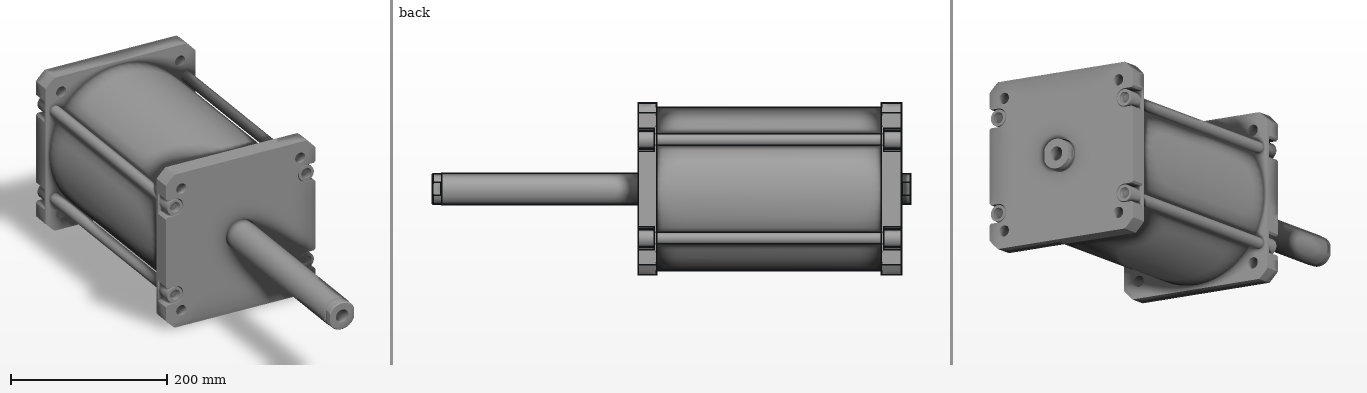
import cadquery as cq
import math

total_length = 611.5
stub_length = 11.5
rear_plate_thickness = 25.5
barrel_length = 287.5
front_plate_thickness = 24.0
rear_face_x = -total_length / 2 + stub_length
barrel_start_x = rear_face_x + rear_plate_thickness
barrel_end_x = barrel_start_x + barrel_length
front_face_x = barrel_end_x + front_plate_thickness

plate_width = 220.0
plate_corner_radius = 147.0
mount_hole_offset = 87.5
mount_hole_radius = 7.5

barrel_radius = 104.5
rod_radius = 20.0
plate_bore_radius = 21.5
neck_radius = 19.5
neck_length = 12.0
front_end_chamfer = 1.0
flat_half_width = 18.0
flat_length = 10.5
end_hole_radius = 9.0
end_hole_depth = 24.5
drill_point_angle = 118.0

tie_offset_y = 96.5
tie_offset_z = 63.0
tie_radius = 7.5
head_radius = 11.0
slot_half_width = 12.0
mouth_chamfer = 2.5
rear_slot_depth = 22.5
front_slot_depth = 21.0
socket_radius = 7.5
socket_depth = 5.0
socket_chamfer = 2.0

tie_centres = [(y * tie_offset_y, z * tie_offset_z) for y in (-1, 1) for z in (-1, 1)]


def cylinder(start_x, end_x, radius, centre=(0, 0)):
    """Cylinder along X between two stations, centred on (y, z)."""
    plane = cq.Workplane("YZ", origin=(start_x, 0, 0))
    return plane.center(*centre).circle(radius).extrude(end_x - start_x)


def block(start_x, end_x, start_y, end_y, height):
    """Rectangular block given by its X and Y ranges, with its height centred on Z = 0."""
    size_x = end_x - start_x
    size_y = end_y - start_y
    box = cq.Workplane("XY").box(size_x, size_y, height, centered=(False, False, True))
    return box.translate((start_x, start_y, 0))


def make_slot_mouth(start_x, end_x, y, z):
    """Opening from a tie rod slot to the plate side, chamfered along both long edges."""
    side = math.copysign(1, y)
    edge_y = side * plate_width / 2
    chamfer_y = edge_y - side * mouth_chamfer
    outer_half_width = slot_half_width + mouth_chamfer
    outline = [
        (y, z - slot_half_width),
        (chamfer_y, z - slot_half_width),
        (edge_y, z - outer_half_width),
        (edge_y, z + outer_half_width),
        (chamfer_y, z + slot_half_width),
        (y, z + slot_half_width),
    ]
    plane = cq.Workplane("YZ", origin=(start_x, 0, 0))
    return plane.polyline(outline).close().extrude(end_x - start_x)


def make_plate(start_x, end_x, slot_start_x, slot_end_x):
    """Square plate with rounded-off corners, mounting holes, rod bore and tie rod slots."""
    half = plate_width / 2
    plate = block(start_x, end_x, -half, half, plate_width)
    plate = plate.intersect(cylinder(start_x, end_x, plate_corner_radius))
    plate = plate.cut(cylinder(start_x, end_x, plate_bore_radius))
    for y in (-mount_hole_offset, mount_hole_offset):
        for z in (-mount_hole_offset, mount_hole_offset):
            plate = plate.cut(cylinder(start_x, end_x, mount_hole_radius, (y, z)))
    for y, z in tie_centres:
        plate = plate.cut(cylinder(start_x, end_x, tie_radius, (y, z)))
        plate = plate.cut(cylinder(slot_start_x, slot_end_x, slot_half_width, (y, z)))
        plate = plate.cut(make_slot_mouth(slot_start_x, slot_end_x, y, z))
    return plate


def make_barrel():
    """Barrel between the plates, bored for the piston rod."""
    bore = cylinder(barrel_start_x, barrel_end_x, rod_radius)
    return cylinder(barrel_start_x, barrel_end_x, barrel_radius).cut(bore)


def make_piston_rod():
    """Through rod with slightly thinner end necks, wrench flats and a drilled hole at both ends."""
    half_length = total_length / 2
    neck_start_x = half_length - neck_length
    rod = cylinder(-half_length, half_length, neck_radius).faces(">X").chamfer(front_end_chamfer)
    rod = rod.union(cylinder(-neck_start_x, neck_start_x, rod_radius))
    point_length = end_hole_radius / math.tan(math.radians(drill_point_angle / 2))
    drill = (
        cq.Workplane("XY")
        .moveTo(-half_length, 0)
        .lineTo(-half_length, end_hole_radius)
        .lineTo(-half_length + end_hole_depth, end_hole_radius)
        .lineTo(-half_length + end_hole_depth + point_length, 0)
        .close()
        .revolve(360, (0, 0, 0), (1, 0, 0))
    )
    flat_end_x = -half_length + flat_length
    left_flat = block(-half_length, flat_end_x, flat_half_width, rod_radius, 2 * rod_radius)
    right_flat = left_flat.mirror("XZ")
    for end_cut in (drill, left_flat, right_flat):
        rod = rod.cut(end_cut).cut(end_cut.mirror("YZ"))
    return rod


def make_tie_rod(centre):
    """Tie rod with a socketed head at each end, flush with the outer plate faces."""
    tie = cylinder(rear_face_x, front_face_x, tie_radius, centre)
    tie = tie.union(cylinder(rear_face_x, rear_face_x + rear_slot_depth, head_radius, centre))
    tie = tie.union(cylinder(front_face_x - front_slot_depth, front_face_x, head_radius, centre))
    rear_socket = cylinder(rear_face_x, rear_face_x + socket_depth, socket_radius, centre)
    front_socket = cylinder(front_face_x - socket_depth, front_face_x, socket_radius, centre)
    tie = tie.cut(rear_socket.faces(">X").chamfer(socket_chamfer))
    tie = tie.cut(front_socket.faces("<X").chamfer(socket_chamfer))
    return tie


rear_plate = make_plate(rear_face_x, barrel_start_x, rear_face_x, rear_face_x + rear_slot_depth)
front_plate = make_plate(barrel_end_x, front_face_x, front_face_x - front_slot_depth, front_face_x)
barrel = make_barrel()
piston_rod = make_piston_rod()
tie_rods = [make_tie_rod(centre).val() for centre in tie_centres]

result = cq.Compound.makeCompound(
    [rear_plate.val(), front_plate.val(), barrel.val(), piston_rod.val(), *tie_rods]
)